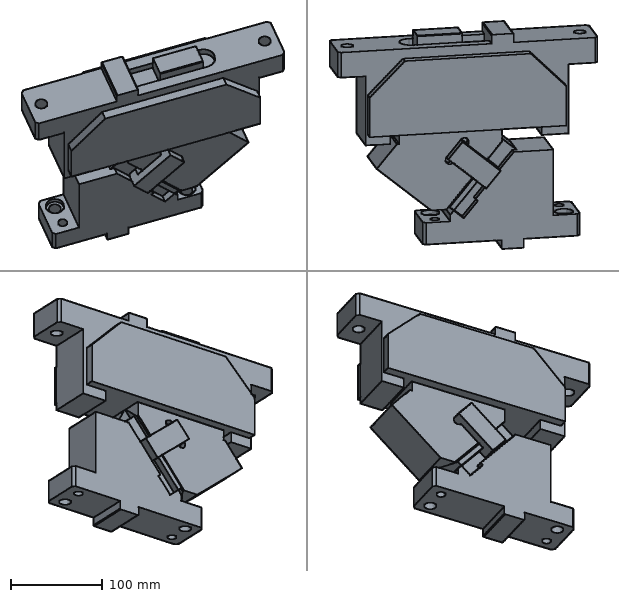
import cadquery as cq
import math

width = 50.0
half_width = width / 2
total_length = 290.0
total_height = 245.0
key_height = 10.2
key_length = 25.0
edge_chamfer = 1.0
corner_chamfer = 3.2

holder_top = total_height - key_height
holder_flange_bottom = 206.2
holder_leg_bottom = 127.3
holder_ceiling = 139.5
holder_back = 114.5
holder_front = -112.2
leg_back_inner = 87.3
leg_front_inner = -82.0
holder_key_y = -38.5
flange_hole_y = 130.0
flange_hole_diameter = 13.0

side_plate_width = 70.0
side_plate_back = 112.2
side_plate_front = -107.5
side_plate_top = 224.0
side_plate_chamfer = 39.5

slot_width = 25.2
slot_back = 71.3
slot_depth = 8.0
stop_width = 23.8
stop_back = 54.0
stop_length = 50.0

guide_angle = math.radians(50)
slide_front = -38.0
guide_start_z = 123.0
groove_half_width = 22.0
groove_angle = math.radians(27)
guide_clearance = 1.2

rail_half_width = 16.8
rail_start = -1.5
rail_end = 92.8
rail_root = -26.0
head_bottom = -7.2

slide_back = 77.0
slide_shoulder_z = 126.7
slide_bottom = 49.0
slide_tail_lift = 92.5
slide_tail_down = 108.0

arm_start = 26.0
arm_width = 25.0
arm_length = 55.5
arm_bottom = -17.0
arm_outer_half_width = 34.0
hook_chamfer = 1.7
relief_radius = 5.0
relief_depth = half_width - rail_half_width

base_top = 110.0
base_flange_top = 35.0
base_flange_back = 50.2
base_flange_front = -125.3
column_back = 20.0
column_front = -95.0
base_key_y = -50.0
shelf_lift = -18.3
notch_lift = -21.8
notch_start = 68.5
base_hole_x = 12.5
base_hole_inset = 15.7
dowel_diameter = 10.0
bolt_diameter = 13.0
counterbore_diameter = 20.0
counterbore_depth = 5.0


def guide_point(down, lift):
    """Y and Z of a point given in guide coordinates."""
    y = slide_front + down * math.cos(guide_angle) + lift * math.sin(guide_angle)
    z = guide_start_z - down * math.sin(guide_angle) + lift * math.cos(guide_angle)
    return y, z


def down_for_height(z, lift):
    """Distance down the slope at which a line of constant lift reaches height z."""
    return (guide_start_z - z + lift * math.cos(guide_angle)) / math.sin(guide_angle)


def side_prism(points, x_from, x_to):
    """Y-Z outline extruded from x_from to x_to."""
    return cq.Workplane("YZ").workplane(offset=x_from).polyline(points).close().extrude(x_to - x_from)


def guide_prism(points, down_from, down_to):
    """X-lift section extruded along the slope."""
    y, z = guide_point(down_to, 0)
    up_slope = (0, -math.cos(guide_angle), math.sin(guide_angle))
    plane = cq.Plane(origin=(0, y, z), xDir=(1, 0, 0), normal=up_slope)
    return cq.Workplane(plane).polyline(points).close().extrude(down_to - down_from)


def box(x_size, y_from, y_to, z_from, z_to):
    """Block centred on X."""
    block = cq.Workplane("XY").box(x_size, y_to - y_from, z_to - z_from)
    return block.translate((0, (y_from + y_to) / 2, (z_from + z_to) / 2))


def hole(x, y, diameter, z_top, depth):
    """Vertical cylinder below z_top, to be cut away."""
    return cq.Workplane("XY", origin=(x, y, z_top)).circle(diameter / 2).extrude(-depth)


def key(y_centre, z_from, z_to, free_face):
    """Locating key across the full width, chamfered along its free long edges."""
    block = box(width, y_centre - key_length / 2, y_centre + key_length / 2, z_from, z_to)
    return block.faces(free_face).edges("|X").chamfer(edge_chamfer)


def roof_lift(x, clearance):
    """Lift of the V-shaped guide surface at a distance x from the middle."""
    return (groove_half_width - x) * math.tan(groove_angle) - clearance


def make_holder():
    flange = box(width, -total_length / 2, total_length / 2, holder_flange_bottom, holder_top)
    flange = flange.edges("|Z").chamfer(corner_chamfer)
    block_outline = [
        (holder_back, holder_top),
        (holder_back, holder_leg_bottom),
        (leg_back_inner, holder_leg_bottom),
        (leg_back_inner, holder_ceiling),
        (leg_front_inner, holder_ceiling),
        (leg_front_inner, holder_leg_bottom),
        (holder_front, holder_leg_bottom),
        (holder_front, holder_top),
    ]
    body = flange.union(side_prism(block_outline, -half_width, half_width))

    plate_outline = [
        (side_plate_back, holder_ceiling),
        (side_plate_back, side_plate_top - side_plate_chamfer),
        (side_plate_back - side_plate_chamfer, side_plate_top),
        (side_plate_front + side_plate_chamfer, side_plate_top),
        (side_plate_front, side_plate_top - side_plate_chamfer),
        (side_plate_front, holder_ceiling),
    ]
    for side in (-1, 1):
        body = body.union(side_prism(plate_outline, side * half_width, side * side_plate_width / 2))

    slot_floor = holder_top - slot_depth
    slot_arc_y = slot_back - slot_width / 2
    slot = box(slot_width, holder_key_y, slot_arc_y, slot_floor, holder_top)
    slot = slot.union(hole(0, slot_arc_y, slot_width, holder_top, slot_depth))
    stop = box(stop_width, stop_back - stop_length, stop_back, slot_floor, total_height)
    stop = stop.faces(">Z").edges("|Y").chamfer(edge_chamfer)
    body = body.cut(slot).union(stop)
    body = body.union(key(holder_key_y, slot_floor, total_height, ">Z"))

    for y in (-flange_hole_y, flange_hole_y):
        body = body.cut(hole(0, y, flange_hole_diameter, holder_top, holder_top - holder_flange_bottom))
    return body


def make_slide():
    bottom_front = guide_point(down_for_height(slide_bottom, 0), 0)
    tail_lift_at_bottom = (
        slide_bottom - guide_start_z + slide_tail_down * math.sin(guide_angle)
    ) / math.cos(guide_angle)
    outline = [
        (slide_front, holder_ceiling),
        (slide_back, holder_ceiling),
        (slide_back, slide_shoulder_z),
        guide_point(down_for_height(slide_shoulder_z, slide_tail_lift), slide_tail_lift),
        guide_point(slide_tail_down, slide_tail_lift),
        guide_point(slide_tail_down, tail_lift_at_bottom),
        bottom_front,
        guide_point(0, 0),
    ]
    body = side_prism(outline, -half_width, half_width)
    body = body.faces(">Z").edges("|Y").chamfer(edge_chamfer)

    groove = [(-groove_half_width, 0), (0, roof_lift(0, 0)), (groove_half_width, 0)]
    body = body.cut(guide_prism(groove, -slide_tail_down, 2 * slide_tail_down))

    arm_top = arm_bottom + arm_length
    arm_end = arm_start + arm_width
    for side in (-1, 1):
        for down in (arm_start, arm_end):
            y, z = guide_point(down, arm_top - relief_radius)
            relief = cq.Workplane("YZ", origin=(side * half_width, y, z)).circle(relief_radius)
            body = body.cut(relief.extrude(-side * relief_depth))
        arm_section = [
            (side * arm_outer_half_width, arm_bottom),
            (side * arm_outer_half_width, arm_top),
            (side * rail_half_width, arm_top),
            (side * rail_half_width, roof_lift(rail_half_width, 0)),
            (side * groove_half_width, 0),
            (side * half_width, 0),
            (side * half_width, head_bottom),
            (side * rail_half_width, head_bottom),
            (side * rail_half_width, arm_bottom + hook_chamfer),
            (side * (rail_half_width + hook_chamfer), arm_bottom),
        ]
        body = body.union(guide_prism(arm_section, arm_start, arm_end))
    return body


def make_base():
    flange = box(width, base_flange_front, base_flange_back, key_height, base_flange_top)
    flange = flange.edges("|Z").chamfer(corner_chamfer)
    back_down = (column_back - slide_front - head_bottom * math.sin(guide_angle)) / math.cos(guide_angle)
    column_outline = [
        (column_back, key_height),
        guide_point(back_down, head_bottom),
        guide_point(rail_end, head_bottom),
        guide_point(rail_end, notch_lift),
        guide_point(notch_start, notch_lift),
        guide_point(notch_start, shelf_lift),
        guide_point(down_for_height(base_top, shelf_lift), shelf_lift),
        (column_front, base_top),
        (column_front, key_height),
    ]
    body = flange.union(side_prism(column_outline, -half_width, half_width))

    roof_peak = (0, roof_lift(0, guide_clearance))
    rail_eave = roof_lift(rail_half_width, guide_clearance)
    rail = [
        (-rail_half_width, rail_root),
        (-rail_half_width, rail_eave),
        roof_peak,
        (rail_half_width, rail_eave),
        (rail_half_width, rail_root),
    ]
    head = [
        (-half_width, head_bottom),
        (-half_width, -guide_clearance),
        (-groove_half_width, -guide_clearance),
        roof_peak,
        (groove_half_width, -guide_clearance),
        (half_width, -guide_clearance),
        (half_width, head_bottom),
    ]
    body = body.union(guide_prism(rail, rail_start, rail_end))
    body = body.union(guide_prism(head, arm_start, rail_end))
    body = body.union(key(base_key_y, 0, base_flange_top, "<Z"))

    flange_thickness = base_flange_top - key_height
    hole_rows = [
        (base_flange_back - base_hole_inset, base_hole_x),
        (base_flange_front + base_hole_inset, -base_hole_x),
    ]
    for y, bolt_x in hole_rows:
        body = body.cut(hole(-bolt_x, y, dowel_diameter, base_flange_top, flange_thickness))
        body = body.cut(hole(bolt_x, y, bolt_diameter, base_flange_top, flange_thickness))
        body = body.cut(hole(bolt_x, y, counterbore_diameter, base_flange_top, counterbore_depth))
    return body


holder = make_holder()
slide = make_slide()
base = make_base()

result = cq.Compound.makeCompound([body.solids().val() for body in (holder, slide, base)])